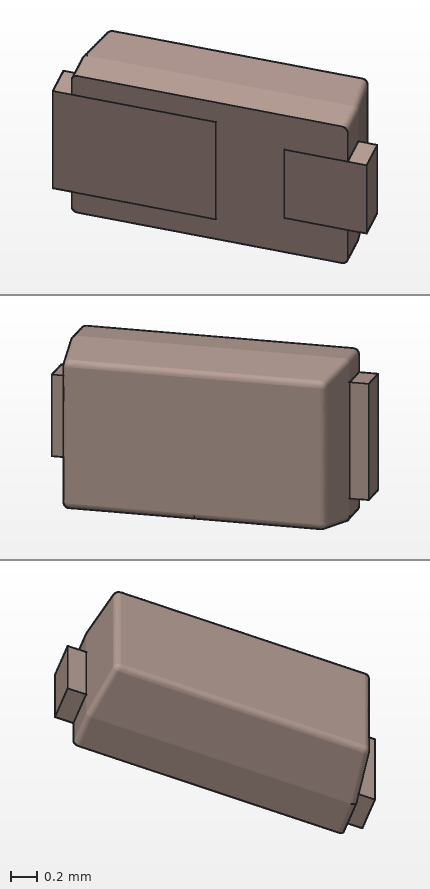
import cadquery as cq
import math

overall_length = 2.5
body_length = 2.2
body_width = 1.3
body_height = 0.73
base_height = 0.27
draft_angle = 8.0
edge_radius = 0.05

terminal_thickness = base_height
cathode_length = 1.3
cathode_width = 0.925
anode_length = 0.655
anode_width = 0.65

draft_inset = (body_height - base_height) * math.tan(math.radians(draft_angle))


def block(x_min, length, width, thickness):
    """Rectangular block standing on the mounting face, centred on Z."""
    return cq.Workplane("XY").box(length, thickness, width, centered=(False, False, True)).translate((x_min, 0, 0))


def make_terminal(x_min, length, width):
    return block(x_min, length, width, terminal_thickness)


def make_body(terminals):
    """Moulded body: straight base, drafted top, rounded edges, terminal pockets."""
    base = block(-body_length / 2, body_length, body_width, base_height)
    drafted_top = (
        cq.Workplane("XZ", origin=(0, base_height, 0))
        .rect(body_length, body_width)
        .workplane(offset=base_height - body_height)
        .rect(body_length - 2 * draft_inset, body_width - 2 * draft_inset)
        .loft(ruled=True)
    )
    body = base.union(drafted_top)
    corners = body.edges("not(#Y)")
    body = corners.fillet(edge_radius)
    body = body.faces(">Y").edges().fillet(edge_radius)
    for terminal in terminals:
        body = body.cut(terminal)
    return body


cathode = make_terminal(-overall_length / 2, cathode_length, cathode_width)
anode = make_terminal(overall_length / 2 - anode_length, anode_length, anode_width)
body = make_body([cathode, anode])

result = cq.Compound.makeCompound([body.val(), cathode.val(), anode.val()])